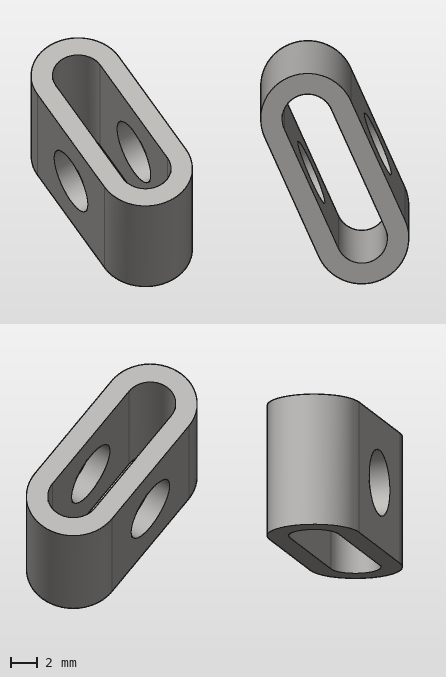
import cadquery as cq

length = 17.0
width = 7.0
height = 10.0
wall = 1.6
hole_diameter = 5.0

inner_length = length - 2 * wall
inner_width = width - 2 * wall


def slot_prism(slot_length, slot_width):
    """Upright prism with a round-ended outline, centred on the origin."""
    return cq.Workplane("XY").slot2D(slot_length, slot_width).extrude(height / 2, both=True)


tube = slot_prism(length, width).cut(slot_prism(inner_length, inner_width))

cross_hole = cq.Workplane("XZ").circle(hole_diameter / 2).extrude(width, both=True)

result = tube.cut(cross_hole)